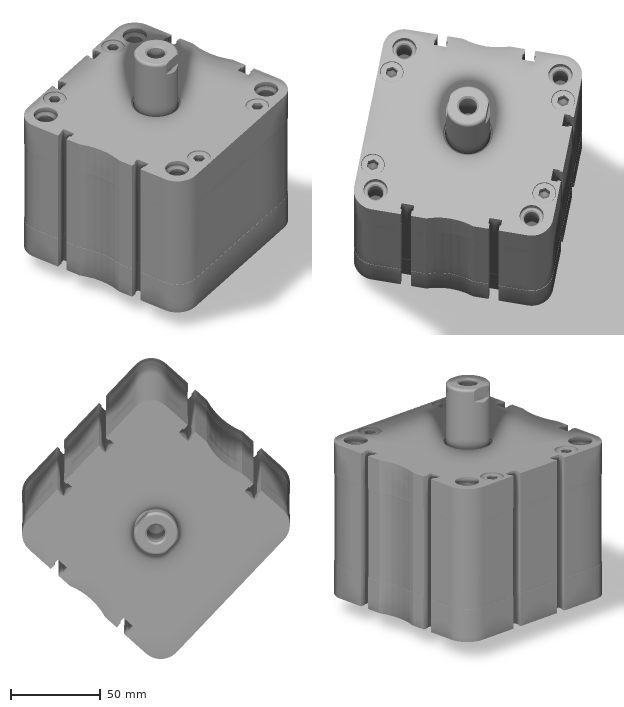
import cadquery as cq
import math


side = 113.5
corner_radius = 12.2
end_height = 19.5
body_height = 92.0
cap_bottom = body_height - end_height
barrel_height = cap_bottom - end_height
barrel_inset = 0.1
barrel_side = side - 2 * barrel_inset
half_side = side / 2
hole_offset = half_side - corner_radius

slot_neck_width = 5.8
slot_inner_width = 7.3
wide_side_slot_offset = 25.1
wide_side_neck_depth = 3.3
wide_side_slot_depth = 6.7
sensor_slot_offset = 17.3
sensor_neck_depth = 1.9
sensor_slot_depth = 5.6

recess_width = 26.9
recess_depth = 2.3

rod_diameter = 25.0
rod_above = 35.2
rod_length = 137
rod_below = rod_length - rod_above - body_height
rod_edge_radius = 1.6
flat_width = 21.9
flat_length = 7.1
thread_diameter = 10.1
thread_mouth_diameter = 12.2
thread_depth = 20.5
drill_point_angle = 118

mouth_diameter = 28.0
wiper_diameter = 26.9
opening_diameter = 25.6
mouth_depth = 0.5
wiper_depth = 1.4

mount_counterbore_diameter = 13.5
mount_counterbore_depth = 3.0
mount_chamfer_diameter = 10.1
mount_diameter = 8.6
mount_depth = 16.5

screw_x = 48.9
screw_y = 29.2
head_diameter = 12.7
head_recess_diameter = 13.2
head_height = 8.0
head_sink = 0.5
shank_diameter = 8.0
shank_length = 27.4
hex_across_flats = 6.0
hex_depth = 4.1
head_top = body_height - head_sink
head_bottom = head_top - head_height

corner_points = [(x, y) for x in (-hole_offset, hole_offset) for y in (-hole_offset, hole_offset)]
screw_points = [(x, y) for x in (-screw_x, screw_x) for y in (-screw_y, screw_y)]


def cylinder(x, y, bottom, height, diameter):
    """Upright cylinder centred on (x, y)."""
    return cq.Workplane("XY", origin=(x, y, bottom)).circle(diameter / 2).extrude(height)


def cone(x, y, bottom, height, bottom_diameter, top_diameter):
    """Upright cone or truncated cone centred on (x, y)."""
    solid = cq.Solid.makeCone(bottom_diameter / 2, top_diameter / 2, height, cq.Vector(x, y, bottom))
    return cq.Workplane(obj=solid)


def slot_cutter(offset, face_y, neck_depth, total_depth, bottom, height):
    """T-slot opening through the side at Y = face_y, centred on X = offset."""
    inner_length = total_depth - neck_depth
    neck = (
        cq.Workplane("XY", origin=(offset, face_y + neck_depth / 2, bottom))
        .rect(slot_neck_width, neck_depth)
        .extrude(height)
    )
    inner = (
        cq.Workplane("XY", origin=(offset, face_y + neck_depth + inner_length / 2, bottom))
        .rect(slot_inner_width, inner_length)
        .extrude(height)
    )
    return neck.union(inner)


def recess_cutter(face_y, bottom, height):
    """Circular-arc recess in the middle of the side at Y = face_y."""
    return (
        cq.Workplane("XY", origin=(0, face_y, bottom))
        .moveTo(-recess_width / 2, 0)
        .threePointArc((0, recess_depth), (recess_width / 2, 0))
        .close()
        .extrude(height)
    )


def profiled_block(width, bottom, height):
    """Rounded square block with the slots and recesses of the cylinder profile."""
    face_y = -width / 2
    block = (
        cq.Workplane("XY", origin=(0, 0, bottom))
        .rect(width, width)
        .extrude(height)
        .edges("|Z")
        .fillet(corner_radius)
    )
    recess = recess_cutter(face_y, bottom, height)
    for turn in (0, 180):
        block = block.cut(recess.rotate((0, 0, 0), (0, 0, 1), turn))
        for offset in (-wide_side_slot_offset, wide_side_slot_offset):
            slot = slot_cutter(offset, face_y, wide_side_neck_depth, wide_side_slot_depth, bottom, height)
            block = block.cut(slot.rotate((0, 0, 0), (0, 0, 1), turn))
    for offset in (-sensor_slot_offset, sensor_slot_offset):
        slot = slot_cutter(offset, face_y, sensor_neck_depth, sensor_slot_depth, bottom, height)
        block = block.cut(slot.rotate((0, 0, 0), (0, 0, 1), -90))
    return block


def screw_blank(x, y):
    """Head and shank of a cap screw, without the hexagon socket."""
    head = cylinder(x, y, head_bottom, head_height, head_diameter)
    shank = cylinder(x, y, head_bottom - shank_length, shank_length, shank_diameter)
    return head.union(shank)


def make_screw(x, y):
    """Cap screw with a hexagon socket that has corners toward +Y and -Y."""
    hex_across_corners = hex_across_flats / math.cos(math.pi / 6)
    socket = (
        cq.Workplane("XY", origin=(x, y, head_top))
        .transformed(rotate=(0, 0, 90))
        .polygon(6, hex_across_corners)
        .extrude(-hex_depth)
    )
    return screw_blank(x, y).cut(socket)


def make_housing():
    """Slightly inset barrel and full-width lower end in one piece, with rod bore and screw holes."""
    lower_end = profiled_block(side, 0, end_height)
    barrel = profiled_block(barrel_side, end_height, barrel_height)
    housing = lower_end.union(barrel)
    housing = housing.cut(cylinder(0, 0, 0, cap_bottom, rod_diameter))
    for x, y in screw_points:
        housing = housing.cut(screw_blank(x, y))
    return housing


def mounting_hole_cutter(x, y):
    """Counterbored blind hole with a chamfered mouth."""
    seat = body_height - mount_counterbore_depth
    chamfer = (mount_chamfer_diameter - mount_diameter) / 2
    counterbore = cylinder(x, y, seat, mount_counterbore_depth, mount_counterbore_diameter)
    mouth = cone(x, y, seat - chamfer, chamfer, mount_diameter, mount_chamfer_diameter)
    bore = cylinder(x, y, body_height - mount_depth, mount_depth, mount_diameter)
    return bore.union(mouth).union(counterbore)


def make_bearing_cap():
    """Upper cap with rod opening, mounting holes and screw seats."""
    cap = profiled_block(side, cap_bottom, end_height)
    cap = cap.cut(cylinder(0, 0, cap_bottom, end_height, opening_diameter))
    cap = cap.cut(cylinder(0, 0, body_height - wiper_depth, wiper_depth, wiper_diameter))
    cap = cap.cut(cone(0, 0, body_height - mouth_depth, mouth_depth, wiper_diameter, mouth_diameter))
    for x, y in corner_points:
        cap = cap.cut(mounting_hole_cutter(x, y))
    for x, y in screw_points:
        recess = cylinder(x, y, head_bottom, head_height + head_sink, head_recess_diameter)
        cap = cap.cut(recess).cut(screw_blank(x, y))
    return cap


def flat_cutter(top):
    """Wrench-flat cut on the +X side of the upper rod end, with a 45 degree run-out."""
    rod_radius = rod_diameter / 2
    flat_x = flat_width / 2
    run_out = rod_radius - flat_x
    return (
        cq.Workplane("XZ")
        .moveTo(flat_x, top)
        .lineTo(rod_radius, top)
        .lineTo(rod_radius, top - flat_length - run_out)
        .lineTo(flat_x, top - flat_length)
        .close()
        .extrude(rod_radius, both=True)
    )


def threaded_hole_cutter(top):
    """Blind hole in the upper rod end with a chamfered mouth and a drill point."""
    chamfer = (thread_mouth_diameter - thread_diameter) / 2
    point_height = thread_diameter / 2 / math.tan(math.radians(drill_point_angle / 2))
    bore = cylinder(0, 0, top - thread_depth, thread_depth, thread_diameter)
    mouth = cone(0, 0, top - chamfer, chamfer, thread_diameter, thread_mouth_diameter)
    point = cone(0, 0, top - thread_depth - point_height, point_height, 0, thread_diameter)
    return bore.union(mouth).union(point)


def make_rod():
    """Through rod with the same rounded edge, flats and threaded hole at both ends."""
    top = rod_length / 2
    rod = cylinder(0, 0, -top, rod_length, rod_diameter).edges("%CIRCLE").fillet(rod_edge_radius)
    flat = flat_cutter(top)
    end_cut = threaded_hole_cutter(top).union(flat).union(flat.mirror("YZ"))
    rod = rod.cut(end_cut).cut(end_cut.mirror("XY"))
    return rod.translate((0, 0, top - rod_below))


housing = make_housing()
bearing_cap = make_bearing_cap()
rod = make_rod()
screws = [make_screw(x, y).val() for x, y in screw_points]

result = cq.Compound.makeCompound([housing.val(), bearing_cap.val(), rod.val(), *screws])